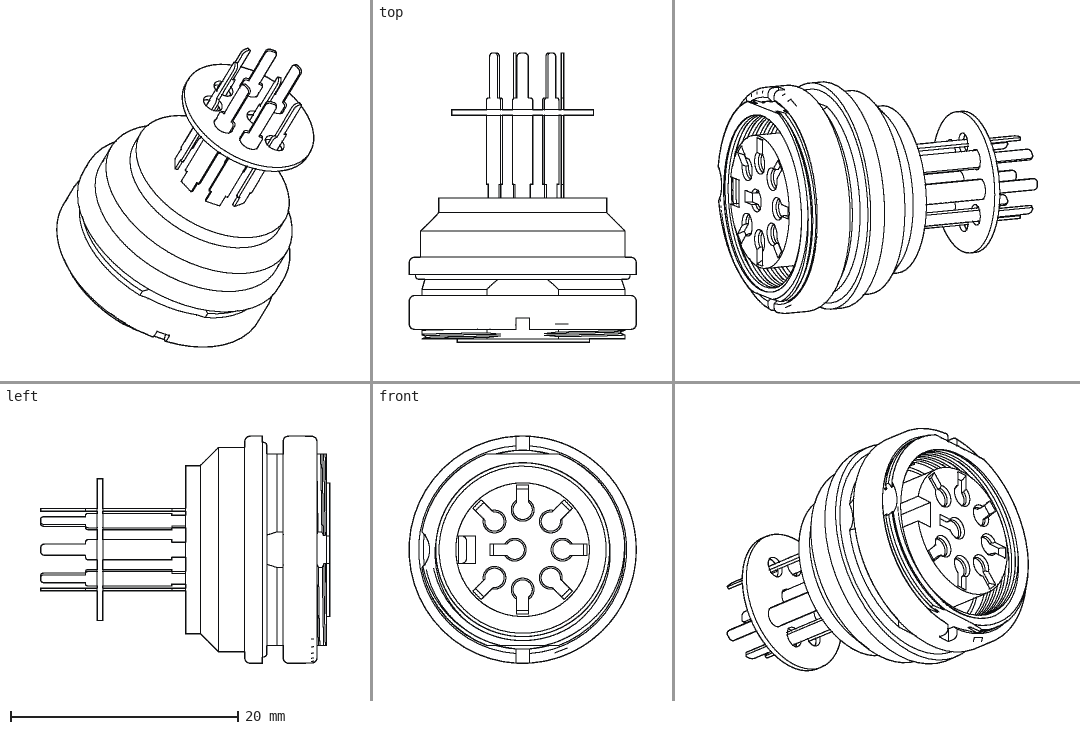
import cadquery as cq
import math


shell_front_y = 0.3
nut_front_y = 1.13
nut_length = 3.0
neck_start_y = 4.65
gasket_front_y = 5.55
flange_front_y = 5.95
flange_rear_y = 7.5
cone_start_y = 9.8
cone_end_y = 11.4
body_rear_y = 12.7
pin_tip_y = 25.45

shell_diameter = 18.0
neck_diameter = 17.4
flange_diameter = 20.0
gasket_diameter = 18.9
rear_diameter = 14.8
edge_fillet = 0.5
gasket_fillet = 0.3
across_flats = 16.86
scallop_radius = 2.15
scallop_depth = 0.82

bore_diameter = 15.3
cavity_diameter = 14.7
bore_end_y = 5.0
cavity_end_y = 8.0

thread_pitch = 0.75
thread_depth = 0.35
outer_thread_end_y = 3.8
inner_thread_end_y = 4.4
outer_thread_phase = 270
inner_thread_phase = 270

nut_diameter = flange_diameter
nut_bore_diameter = 17.5
nut_mouth_diameter = 18.3
spanner_slot_width = 1.2
spanner_slot_depth = 1.03

insert_diameter = 11.76
key_half_width = 1.22
key_inner_x = -4.15
key_depth = 5.0
key_step_height = 0.5
key_step_outer_x = -5.63
key_step_inner_x = -4.92
key_step_corner = 0.5

contact_circle_radius = 3.5
contact_circle_angles = [0, 45, 90, 135, 225, 270, 315]
centre_contact_radius = 0.7
contacts = [(angle, contact_circle_radius) for angle in contact_circle_angles]
contacts.append((180, centre_contact_radius))
socket_diameter = 1.7
socket_mouth_diameter = 2.0
socket_mouth_depth = 0.3
socket_depth = 0.55
slot_width = 1.04
slot_length = 2.17
slot_end_taper = 0.32

pin_thickness = 0.25
pin_root_width = 1.35
pin_blade_width = 1.8
pin_tip_width = 1.0
pin_blade_start_y = 13.9
pin_shoulder_y = 21.5
pin_shoulder_radius = 0.24
pin_tip_radius = 0.35
pin_embed = 0.5

disc_diameter = 12.5
disc_front_y = 19.97
disc_thickness = 0.5
disc_hole_diameter = pin_blade_width


def cylinder(diameter, start_y, end_y):
    """Round bar on the connector axis between two Y positions."""
    bar = cq.Workplane("XZ", origin=(0, start_y, 0)).circle(diameter / 2)
    return bar.extrude(start_y - end_y)


def revolved(points):
    """Body of revolution about Y from (radius, y) points."""
    return cq.Workplane("XY").polyline(points).close().revolve(360, (0, 0), (0, 1))


def block(x_range, y_range, z_range):
    """Box between pairs of limits along X, Y and Z."""
    limits = (x_range, y_range, z_range)
    sizes = [high - low for low, high in limits]
    corner = tuple(low for low, high in limits)
    return cq.Workplane("XY").box(*sizes, centered=False).translate(corner)


def at_angle(body, angle):
    """Turn a body built on +X about the Y axis, from +X towards +Z."""
    return body.rotate((0, 0, 0), (0, 1, 0), -angle)


def thread_cutter(surface_radius, depth, end_y, phase):
    """V-shaped helical ridge that starts ahead of the shell face; a negative depth cuts outwards."""
    start_y = shell_front_y - thread_pitch
    overlap = math.copysign(0.05, depth)
    mouth_half = 0.3 * thread_pitch
    root_half = 0.1 * thread_pitch
    helix = cq.Wire.makeHelix(thread_pitch, end_y - start_y, surface_radius)
    profile = cq.Workplane("XZ").polyline([
        (surface_radius + overlap, -mouth_half),
        (surface_radius + overlap, mouth_half),
        (surface_radius - depth, root_half),
        (surface_radius - depth, -root_half),
    ]).close()
    ridge = profile.sweep(cq.Workplane(obj=helix), isFrenet=True)
    ridge = ridge.rotate((0, 0, 0), (1, 0, 0), -90).translate((0, start_y, 0))
    return at_angle(ridge, phase)


def make_shell():
    """Threaded barrel, gasket, flange and tapered rear, bored out around the insert."""
    shell_radius = shell_diameter / 2
    barrel = revolved([
        (0, shell_front_y),
        (shell_radius, shell_front_y),
        (shell_radius, neck_start_y),
        (neck_diameter / 2, gasket_front_y),
        (neck_diameter / 2, flange_rear_y),
        (0, flange_rear_y),
    ])
    barrel = barrel.cut(thread_cutter(shell_radius, thread_depth, outer_thread_end_y, outer_thread_phase))
    half_flats = across_flats / 2
    flat_span = (shell_front_y, gasket_front_y)
    for sign in (1, -1):
        z_range = sorted((sign * half_flats, sign * flange_diameter))
        barrel = barrel.cut(block((-shell_radius, shell_radius), flat_span, z_range))
    scallop = cylinder(2 * scallop_radius, shell_front_y, gasket_front_y)
    barrel = barrel.cut(scallop.translate((scallop_depth - shell_radius - scallop_radius, 0, 0)))

    flange = cylinder(flange_diameter, flange_front_y, flange_rear_y)
    flange = flange.faces(">Y").edges().fillet(edge_fillet)
    gasket = cylinder(gasket_diameter, gasket_front_y, flange_front_y)
    gasket = gasket.faces("<Y").edges().fillet(gasket_fillet)
    rear = revolved([
        (0, flange_front_y),
        (shell_radius, flange_front_y),
        (shell_radius, cone_start_y),
        (rear_diameter / 2, cone_end_y),
        (rear_diameter / 2, body_rear_y),
        (0, body_rear_y),
    ])
    shell = barrel.union(gasket).union(flange).union(rear)

    shell = shell.cut(cylinder(bore_diameter, shell_front_y, bore_end_y))
    shell = shell.cut(cylinder(cavity_diameter, shell_front_y, cavity_end_y))
    return shell.cut(
        thread_cutter(bore_diameter / 2, -thread_depth, inner_thread_end_y, inner_thread_phase)
    )


def make_nut():
    """Ring nut with rounded edges, a chamfered mouth and two spanner slots."""
    nut = cylinder(nut_diameter, nut_front_y, nut_front_y + nut_length)
    nut = nut.edges().fillet(edge_fillet)
    mouth_depth = (nut_mouth_diameter - nut_bore_diameter) / 2
    nut = nut.cut(cylinder(nut_bore_diameter, nut_front_y, nut_front_y + nut_length))
    nut = nut.cut(revolved([
        (0, nut_front_y),
        (nut_mouth_diameter / 2, nut_front_y),
        (nut_bore_diameter / 2, nut_front_y + mouth_depth),
        (0, nut_front_y + mouth_depth),
    ]))
    half_width = spanner_slot_width / 2
    slot = block(
        (-half_width, half_width),
        (nut_front_y, nut_front_y + spanner_slot_depth),
        (-nut_diameter, nut_diameter),
    )
    return nut.cut(slot)


def make_socket(angle, radius):
    """Countersunk contact hole with an outward slot whose far end slopes."""
    hole = cylinder(socket_diameter, 0, socket_depth)
    mouth = revolved([
        (0, 0),
        (socket_mouth_diameter / 2, 0),
        (socket_diameter / 2, socket_mouth_depth),
        (0, socket_mouth_depth),
    ])
    slot = cq.Workplane("XY", origin=(0, 0, -slot_width / 2)).polyline([
        (0, 0),
        (slot_length, 0),
        (slot_length - slot_end_taper, socket_depth),
        (0, socket_depth),
    ]).close().extrude(slot_width)
    return at_angle(hole.union(mouth).union(slot).translate((radius, 0, 0)), angle)


def make_insert():
    """Contact insert with a stepped keyway and the contact sockets."""
    insert = cylinder(insert_diameter, 0, cavity_end_y)
    insert_radius = insert_diameter / 2
    key_z = (-key_half_width, key_half_width)
    insert = insert.cut(block((-insert_radius, key_inner_x), (0, key_depth), key_z))
    step_y = (key_depth - key_step_height, key_depth)
    step = block((key_step_outer_x, key_step_inner_x), step_y, key_z)
    insert = insert.union(step.edges(">X and |Y").fillet(key_step_corner))
    for angle, radius in contacts:
        insert = insert.cut(make_socket(angle, radius))
    return insert


def make_pin(angle, radius):
    """Flat solder pin, tangential to the contact circle."""
    blade_half = pin_blade_width / 2
    root_half = pin_root_width / 2
    tip_half = pin_tip_width / 2
    shoulder_start_y = pin_shoulder_y - pin_shoulder_radius
    tip_start_y = pin_tip_y - pin_tip_radius
    bend = math.sqrt(0.5)
    shoulder_mid_y = shoulder_start_y + pin_shoulder_radius * bend
    shoulder_mid = blade_half - pin_shoulder_radius * (1 - bend)
    tip_mid_y = tip_start_y + pin_tip_radius * bend
    tip_mid = tip_half - pin_tip_radius * (1 - bend)
    outline = cq.Workplane("YZ", origin=(radius - pin_thickness / 2, 0, 0))
    outline = outline.moveTo(body_rear_y - pin_embed, 0).lineTo(body_rear_y - pin_embed, root_half)
    outline = outline.lineTo(pin_blade_start_y, root_half).lineTo(pin_blade_start_y, blade_half)
    outline = outline.lineTo(shoulder_start_y, blade_half)
    outline = outline.threePointArc(
        (shoulder_mid_y, shoulder_mid), (pin_shoulder_y, blade_half - pin_shoulder_radius)
    )
    outline = outline.lineTo(pin_shoulder_y, tip_half).lineTo(tip_start_y, tip_half)
    outline = outline.threePointArc((tip_mid_y, tip_mid), (pin_tip_y, tip_half - pin_tip_radius))
    outline = outline.lineTo(pin_tip_y, 0).close()
    half_pin = outline.extrude(pin_thickness)
    return at_angle(half_pin.union(half_pin.mirror("XY")), angle)


def make_disc():
    """Spacer disc with a hole for each solder pin."""
    disc_rear_y = disc_front_y + disc_thickness
    disc = cylinder(disc_diameter, disc_front_y, disc_rear_y)
    hole = cylinder(disc_hole_diameter, disc_front_y, disc_rear_y)
    for angle, radius in contacts:
        disc = disc.cut(at_angle(hole.translate((radius, 0, 0)), angle))
    return disc


result = make_disc()
for contact_angle, contact_radius in contacts:
    result = result.union(make_pin(contact_angle, contact_radius))
result = make_shell().union(make_insert()).union(result).union(make_nut())